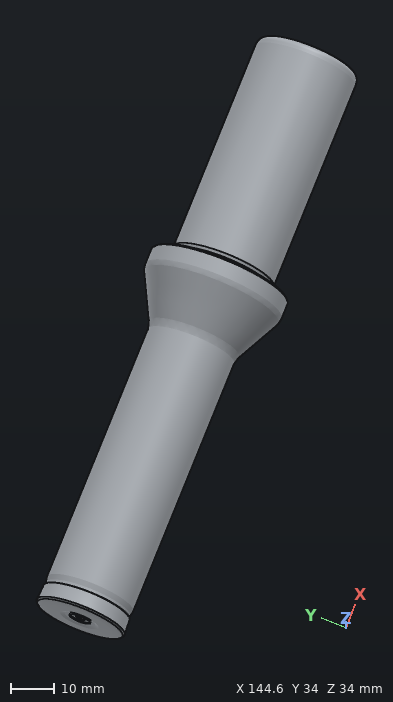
import cadquery as cq

total_length = 144.6

head_length = 4.5
head_diameter = 22.0
head_back_diameter = 21.5
lead_length = 0.7
face_edge_diameter = 21.3
face_edge_setback = 0.3
outer_band_diameter = 19.0
outer_band_setback = 0.1
inner_band_diameter = 16.3
inner_band_setback = 0.07

recess_mouth_diameter = 9.5
recess_floor_diameter = 7.5
recess_depth = 0.3
bore_diameter = 5.2
bore_depth = 0.3
pilot_mouth_diameter = 2.3
pilot_floor_diameter = 1.2
pilot_depth = 0.3

neck_diameter = 21.5
neck_groove_diameter = 21.0
neck_groove_end = 5.4
neck_groove_taper = 1.3

flange_diameter = 34.0
flange_back = 88.7
flange_chamfer = 0.5
cone_front = 71.3
cone_back = 83.7
cone_root_radius = 4.3
cone_rim_radius = 2.9

shank_diameter = 25.0
shank_groove_diameter = 24.5
shank_groove_end = 90.0
shank_groove_taper = 0.9
tail_length = 2.3
tail_taper_length = 0.7
tail_taper_diameter = 24.9
tail_end_diameter = 22.1
tail_round_radius = 1.7


def revolve_profile(points):
    """Revolve a closed (x, radius) outline about the X axis."""
    return cq.Workplane("XY").polyline(points).close().revolve(360, (0, 0, 0), (1, 0, 0))


def round_edge(solid, x, radius):
    """Fillet the circular edge in the plane at the given x."""
    margin = 0.01
    reach = flange_diameter
    edge_zone = cq.selectors.BoxSelector((x - margin, -reach, -reach), (x + margin, reach, reach))
    return solid.edges(edge_zone).fillet(radius)


def make_head():
    """Head ring with a slightly domed face and a stepped centre recess."""
    bore_floor = recess_depth + bore_depth
    pilot_floor = bore_floor + pilot_depth
    return revolve_profile([
        (pilot_floor, 0),
        (pilot_floor, pilot_floor_diameter / 2),
        (bore_floor, pilot_mouth_diameter / 2),
        (bore_floor, bore_diameter / 2),
        (recess_depth, bore_diameter / 2),
        (recess_depth, recess_floor_diameter / 2),
        (0, recess_mouth_diameter / 2),
        (inner_band_setback, inner_band_diameter / 2),
        (outer_band_setback, outer_band_diameter / 2),
        (face_edge_setback, face_edge_diameter / 2),
        (lead_length, head_diameter / 2),
        (head_length, head_back_diameter / 2),
        (head_length, 0),
    ])


def make_holder():
    """Neck, coned flange and shank in one solid of revolution."""
    neck_start = neck_groove_end + neck_groove_taper
    shank_start = shank_groove_end + shank_groove_taper
    tail_start = total_length - tail_length
    rounding_start = tail_start + tail_taper_length
    outline = (
        cq.Workplane("XY")
        .moveTo(head_length, 0)
        .lineTo(head_length, neck_groove_diameter / 2)
        .lineTo(neck_groove_end, neck_groove_diameter / 2)
        .lineTo(neck_start, neck_diameter / 2)
        .lineTo(cone_front, neck_diameter / 2)
        .lineTo(cone_back, flange_diameter / 2)
        .lineTo(flange_back - flange_chamfer, flange_diameter / 2)
        .lineTo(flange_back, flange_diameter / 2 - flange_chamfer)
        .lineTo(flange_back, shank_groove_diameter / 2)
        .lineTo(shank_groove_end, shank_groove_diameter / 2)
        .lineTo(shank_start, shank_diameter / 2)
        .lineTo(tail_start, shank_diameter / 2)
        .lineTo(rounding_start, tail_taper_diameter / 2)
        .radiusArc((total_length, tail_end_diameter / 2), tail_round_radius)
        .lineTo(total_length, 0)
        .close()
    )
    solid = outline.revolve(360, (0, 0, 0), (1, 0, 0))
    solid = round_edge(solid, cone_front, cone_root_radius)
    return round_edge(solid, cone_back, cone_rim_radius)


head = make_head()
holder = make_holder()
result = cq.Compound.makeCompound([head.val(), holder.val()])